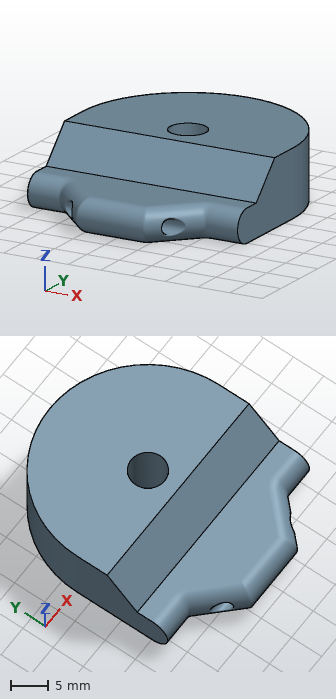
import cadquery as cq
import math

width = 32.5
length = 37.25
height = 10.0
pivot_hole_diameter = 5.5
cross_hole_diameter = 2.2
cross_hole_y = -18.03
nose_half_width = 4.2
wing_axis_y = -12.5
inner_corner_radius = 0.5
miter_fillet = 0.5
mouth_fillet = 0.15
selection_margin = 0.05

head_radius = width / 2
lip_height = height / 2
edge_radius = lip_height / 2
front_y = head_radius - length
nose_axis_y = front_y + edge_radius
slope_top_y = -height / 2
slope_bottom_y = slope_top_y - (height - lip_height)
corner_x = nose_half_width + wing_axis_y - nose_axis_y
bend_radius = inner_corner_radius + edge_radius
bend_angle = math.radians(45)
bend_tangent = bend_radius * math.tan(bend_angle / 2)
bend_start_x = corner_x + bend_tangent
bend_end_x = corner_x - bend_tangent * math.cos(bend_angle)
bend_end_y = wing_axis_y - bend_tangent * math.sin(bend_angle)
bend_mid_x = bend_start_x - bend_radius * math.sin(bend_angle / 2)
bend_mid_y = wing_axis_y - bend_radius * (1 - math.cos(bend_angle / 2))


def make_head():
    """Full-height rounded head with a sloped front."""
    plan = (
        cq.Workplane("XY")
        .moveTo(-head_radius, slope_bottom_y)
        .lineTo(-head_radius, 0)
        .threePointArc((0, head_radius), (head_radius, 0))
        .lineTo(head_radius, slope_bottom_y)
        .close()
        .extrude(height)
    )
    side_profile = (
        cq.Workplane("YZ")
        .moveTo(head_radius, 0)
        .lineTo(head_radius, height)
        .lineTo(slope_top_y, height)
        .lineTo(slope_bottom_y, lip_height)
        .lineTo(slope_bottom_y, 0)
        .close()
        .extrude(head_radius, both=True)
    )
    return plan.intersect(side_profile)


def draw_edge_axis(z):
    """Axis of the rounded front edge, drawn from -X to +X at height z."""
    return (
        cq.Workplane("XY", origin=(0, 0, z))
        .moveTo(-head_radius, wing_axis_y)
        .lineTo(-bend_start_x, wing_axis_y)
        .threePointArc((-bend_mid_x, bend_mid_y), (-bend_end_x, bend_end_y))
        .lineTo(-nose_half_width, nose_axis_y)
        .lineTo(nose_half_width, nose_axis_y)
        .lineTo(bend_end_x, bend_end_y)
        .threePointArc((bend_mid_x, bend_mid_y), (bend_start_x, wing_axis_y))
        .lineTo(head_radius, wing_axis_y)
    )


def make_lip():
    """Flat lip that extends forward to the axis of the rounded front edge."""
    return (
        draw_edge_axis(0)
        .lineTo(head_radius, 0)
        .lineTo(-head_radius, 0)
        .close()
        .extrude(lip_height)
    )


def make_round_edge():
    """Round bar along the front edge, mitred at the nose corners."""
    path = draw_edge_axis(edge_radius)
    return (
        cq.Workplane("YZ", origin=(-head_radius, wing_axis_y, edge_radius))
        .circle(edge_radius)
        .sweep(path, transition="right")
    )


def make_pivot_hole():
    """Vertical through hole at the centre of the head."""
    return cq.Workplane("XY").circle(pivot_hole_diameter / 2).extrude(height)


def make_cross_hole():
    """Hole along X through the nose, opening on both slanted flanks."""
    return (
        cq.Workplane("YZ", origin=(0, cross_hole_y, edge_radius))
        .circle(cross_hole_diameter / 2)
        .extrude(head_radius, both=True)
    )


def soften_miters(body):
    """Fillet the two mitred edges at the front corners of the nose."""
    miter_width = edge_radius * math.tan(bend_angle / 2)
    for side in (-1, 1):
        corner = cq.selectors.BoxSelector(
            (side * (nose_half_width - selection_margin), front_y - selection_margin, -selection_margin),
            (
                side * (nose_half_width + miter_width + selection_margin),
                nose_axis_y + selection_margin,
                lip_height + selection_margin,
            ),
            boundingbox=True,
        )
        body = body.edges(corner).fillet(miter_fillet)
    return body


def soften_hole_mouths(body):
    """Fillet the two rims where the cross hole breaks through the flanks."""
    rim_reach = cross_hole_diameter / 2 + selection_margin
    rims = cq.selectors.BoxSelector(
        (-head_radius, cross_hole_y - rim_reach, edge_radius - rim_reach),
        (head_radius, cross_hole_y + rim_reach, edge_radius + rim_reach),
        boundingbox=True,
    )
    return body.edges(rims).edges("not %LINE").fillet(mouth_fillet)


result = make_head().union(make_lip()).union(make_round_edge())
result = soften_miters(result)
result = result.cut(make_pivot_hole()).cut(make_cross_hole())
result = soften_hole_mouths(result)